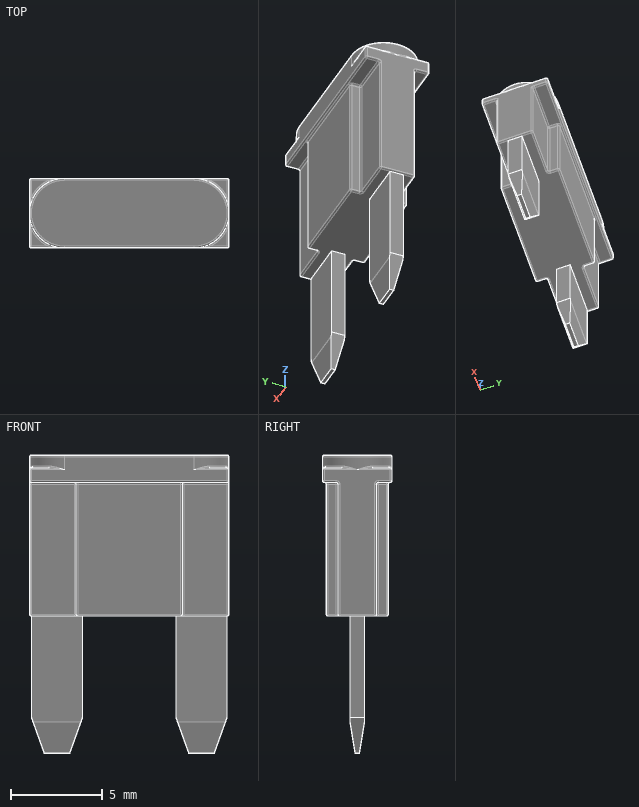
import cadquery as cq

LENGTH = 10.9
WIDTH = 3.8
TOP_Z = 0.0
HEAD_HEIGHT = 1.5
HOUSING_HEIGHT = 8.8
EDGE_RADIUS = 0.099

END_WIDTH = 2.1
MIDDLE_WIDTH = 3.4
MIDDLE_LENGTH = 5.8

CORNER_DROP = 0.7
TOP_ROOT_DEPTH = 2 * EDGE_RADIUS
SELECTION_MARGIN = 0.01

TOTAL_HEIGHT = 16.3
BLADE_WIDTH = 2.8
BLADE_THICKNESS = 0.8
BLADE_SPACING = 7.9
TIP_WIDTH = 1.4
TIP_THICKNESS = 0.25
TIP_HEIGHT = 1.95
BEVEL_HEIGHT = 1.7

HEAD_BOTTOM_Z = TOP_Z - HEAD_HEIGHT
HOUSING_BOTTOM_Z = TOP_Z - HOUSING_HEIGHT
CORNER_Z = TOP_Z - CORNER_DROP
BLADE_BOTTOM_Z = TOP_Z - TOTAL_HEIGHT


def block(length, width, bottom_z, top_z):
    """Box centered on the Z axis between two heights."""
    return (
        cq.Workplane("XY")
        .workplane(offset=bottom_z)
        .rect(length, width)
        .extrude(top_z - bottom_z)
    )


def make_base():
    """Slab-shaped lower head over thin ends and a thick middle, with all edges rounded."""
    return (
        block(LENGTH, WIDTH, HEAD_BOTTOM_Z, CORNER_Z)
        .union(block(LENGTH, END_WIDTH, HOUSING_BOTTOM_Z, HEAD_BOTTOM_Z))
        .union(block(MIDDLE_LENGTH, MIDDLE_WIDTH, HOUSING_BOTTOM_Z, HEAD_BOTTOM_Z))
        .edges()
        .fillet(EDGE_RADIUS)
    )


def make_raised_top():
    """Round-ended top of the head, reaching down into the base past its rounded rim."""
    return (
        cq.Workplane("XY")
        .workplane(offset=CORNER_Z - TOP_ROOT_DEPTH)
        .slot2D(LENGTH, WIDTH)
        .extrude(CORNER_DROP + TOP_ROOT_DEPTH)
        .faces(">Z")
        .edges()
        .fillet(EDGE_RADIUS)
    )


def make_housing():
    """Base and raised top in one solid, with the foot of the round ends filleted into the corners."""
    at_corner_height = cq.selectors.BoxSelector(
        (-LENGTH, -WIDTH, CORNER_Z - SELECTION_MARGIN),
        (LENGTH, WIDTH, CORNER_Z + SELECTION_MARGIN),
    )
    housing = make_base().union(make_raised_top())
    foot_arcs = housing.edges("%CIRCLE").edges(at_corner_height)
    return foot_arcs.fillet(EDGE_RADIUS).solids()


def tapered_profile(plane, width, tip_width, taper_height, depth):
    """Straight strip that narrows to the blade tip, extruded evenly to both sides of the plane."""
    taper_z = BLADE_BOTTOM_Z + taper_height
    return (
        cq.Workplane(plane)
        .polyline([
            (-width / 2, HOUSING_BOTTOM_Z),
            (-width / 2, taper_z),
            (-tip_width / 2, BLADE_BOTTOM_Z),
            (tip_width / 2, BLADE_BOTTOM_Z),
            (width / 2, taper_z),
            (width / 2, HOUSING_BOTTOM_Z),
        ])
        .close()
        .extrude(depth / 2, both=True)
    )


def make_blade(center_x):
    """Flat blade hanging from the housing, tapered at the tip on all four sides."""
    outline = tapered_profile("XZ", BLADE_WIDTH, TIP_WIDTH, TIP_HEIGHT, BLADE_THICKNESS)
    section = tapered_profile("YZ", BLADE_THICKNESS, TIP_THICKNESS, BEVEL_HEIGHT, BLADE_WIDTH)
    return outline.intersect(section).translate((center_x, 0, 0)).solids()


housing = make_housing()
blades = [make_blade(side * BLADE_SPACING / 2) for side in (-1, 1)]

result = cq.Compound.makeCompound([housing.val(), *[blade.val() for blade in blades]])